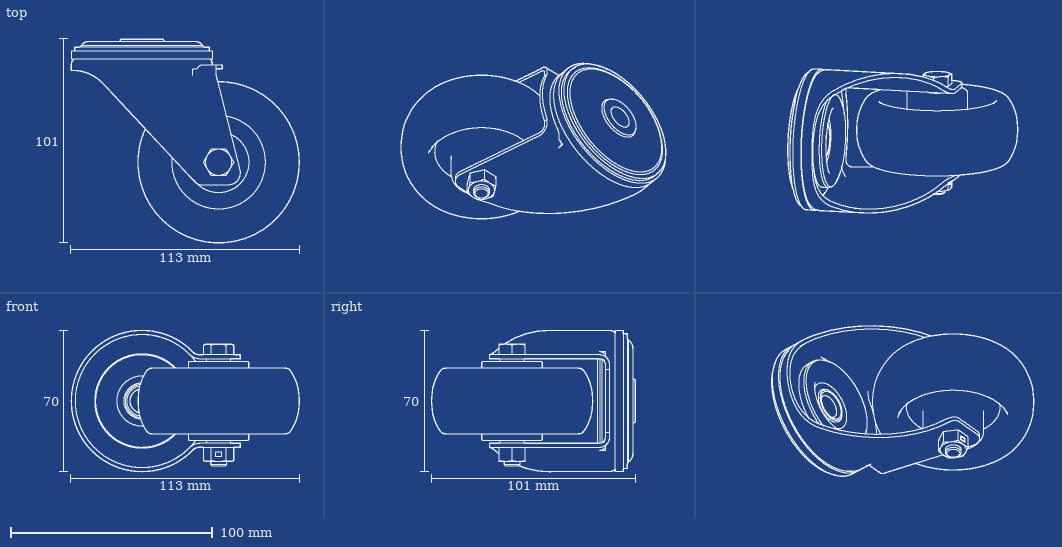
import cadquery as cq
import math


head_radius = 35.0
sheet = 2.0
axle_offset = 38.0
axle_depth = 61.0
wheel_radius = 40.0
bolt_radius = 4.0
bolt_hole_radius = 5.9

cover_top = 1.1
cover_flat_radius = 26.2
dome_radius = 30.1
dome_depth = 3.3
cover_shoulder_radius = 31.2
cover_shoulder = 4.0
cover_step_radius = 33.5
band_top = 5.9
band_bottom = 10.0
band_bore_radius = 34.0

valley_radius = 2.3
ridge_radius = 5.0
floor_flat_radius = 25.3
crown_bend_depth = 12.9
race_radius = 23.4

leg_face = 22.9
waist_bend = 5.1
shoulder_bend = 5.0
tab_top = 12.8
tab_radius = 39.9
leg_top_end = 36.7
leg_bottom = 72.2
leg_tip_corner = 50.4
leg_heel_corner = 27.6
leg_tip_round = 6.0
leg_heel_round = 4.5
rear_rim = 15.6
rear_corner = -25.3
rear_round = 20.8

hub_ring_radius = 11.1
hub_ring_chamfer = 0.6
race_edge_radius = 22.9
race_wall_end = 16.4
race_edge = 17.5
race_crest = 18.8
race_inner_radius = 16.5
seat = 13.2
seat_radius = 12.4
collar_radius = 8.9
collar_depth = 13.9
collar_chamfer = 0.7
bore_chamfer = 1.6

wheel_half_width = 16.4
tread_mid = (39.0, 7.9)
tread_shoulder = (36.0, 14.4)
rim_crest = 32.4
rim_foot = 25.2
rim_foot_height = 2.0
web_half = 3.4
web_outer_radius = 23.2
barrel_foot_round = 2.8
barrel_radius = 15.0
barrel_half_length = 19.7
barrel_round = 1.0
tube_radius = 6.0

hex_flats = 13.0
hex_chamfer = 0.5
bolt_head_height = 5.2
nut_height = 7.0
bolt_end = 32.2
thread_chamfer = 0.7
mark_length = 2.9
mark_height = 2.1
mark_depth = 0.3
mark_offset = 3.5

wall_inner_radius = head_radius - sheet
leg_inner_face = leg_face - sheet
waist_z = leg_face + waist_bend
waist_x = math.sqrt((head_radius + waist_bend) ** 2 - waist_z**2)
waist_angle = math.atan2(waist_z, waist_x)
tab_bottom = tab_top + sheet
shoulder_end = tab_top + shoulder_bend
valley_center = wall_inner_radius - valley_radius
bend_slope = math.asin((valley_center - floor_flat_radius) / (valley_radius + ridge_radius))
ridge_depth = crown_bend_depth - (valley_radius + ridge_radius) * math.cos(bend_slope)
floor_bottom = ridge_depth + ridge_radius
cover_underside = crown_bend_depth - valley_radius - sheet


def polar(radius, angle):
    return radius * math.cos(angle), radius * math.sin(angle)


def spin(profile):
    """Turn a radius/height section all the way round the Y axis."""
    return profile.close().revolve(360, (0, 0), (0, 1))


def crown_bends(profile, valley, ridge):
    """Add the two floor bends, from the crown wall to the flat floor."""
    half = bend_slope / 2
    valley_mid = (
        valley_center + valley * math.sin(math.pi / 4 - half),
        valley * math.cos(math.pi / 4 - half) - crown_bend_depth,
    )
    inflection = (
        valley_center - valley * math.sin(bend_slope),
        valley * math.cos(bend_slope) - crown_bend_depth,
    )
    ridge_mid = (floor_flat_radius + ridge * math.sin(half), -ridge_depth - ridge * math.cos(half))
    ridge_end = (floor_flat_radius, -ridge_depth - ridge)
    return profile.threePointArc(valley_mid, inflection).threePointArc(ridge_mid, ridge_end)


def crown_section(wall_radius, valley, ridge):
    """Everything enclosed by one face of the crown sheet, as a solid."""
    profile = cq.Workplane("XY").moveTo(0, -tab_bottom).lineTo(wall_radius, -tab_bottom)
    profile = profile.lineTo(wall_radius, -crown_bend_depth)
    profile = crown_bends(profile, valley, ridge)
    return spin(profile.lineTo(0, -ridge_depth - ridge))


def cylinder_y(radius, top, bottom):
    """Cylinder on the swivel axis between two depths."""
    return cq.Workplane("XZ", origin=(0, -top, 0)).circle(radius).extrude(bottom - top)


def cylinder_z(radius, low, high):
    """Cylinder on the wheel axis between two heights."""
    return cq.Workplane("XY", origin=(axle_offset, -axle_depth, low)).circle(radius).extrude(high - low)


def wall_outline():
    """Round rear wall and both flat legs, as an outline across the swivel axis."""
    outer_x, outer_z = polar(head_radius, waist_angle)
    inner_x, inner_z = polar(wall_inner_radius, waist_angle)
    mid_turn = (waist_angle - math.pi / 2) / 2 - math.pi / 2
    mid_x, mid_z = polar(1, mid_turn)
    outer_mid = (waist_x + waist_bend * mid_x, waist_z + waist_bend * mid_z)
    inner_bend = waist_bend + sheet
    inner_mid = (waist_x + inner_bend * mid_x, waist_z + inner_bend * mid_z)
    return (
        cq.Workplane("XZ", origin=(0, -tab_bottom, 0))
        .moveTo(leg_tip_corner, leg_face)
        .lineTo(waist_x, leg_face)
        .threePointArc(outer_mid, (outer_x, outer_z))
        .threePointArc((-head_radius, 0), (outer_x, -outer_z))
        .threePointArc((outer_mid[0], -outer_mid[1]), (waist_x, -leg_face))
        .lineTo(leg_tip_corner, -leg_face)
        .lineTo(leg_tip_corner, -leg_inner_face)
        .lineTo(waist_x, -leg_inner_face)
        .threePointArc((inner_mid[0], -inner_mid[1]), (inner_x, -inner_z))
        .threePointArc((-wall_inner_radius, 0), (inner_x, inner_z))
        .threePointArc(inner_mid, (waist_x, leg_inner_face))
        .lineTo(leg_tip_corner, leg_inner_face)
        .close()
    )


def leg_side_shape():
    """Side outline of the legs as a block, used to trim the wall."""
    corners = [
        (-head_radius, 0),
        (-head_radius, -rear_rim),
        (rear_corner, -rear_rim),
        (leg_heel_corner, -leg_bottom),
        (leg_tip_corner, -leg_bottom),
        (leg_top_end, -shoulder_end),
        (leg_top_end, 0),
    ]
    block = cq.Workplane("XY").polyline(corners).close().extrude(head_radius, both=True)
    rounds = (rear_round, leg_heel_round, leg_tip_round)
    for corner, radius in zip(corners[2:5], rounds):
        nearest = cq.selectors.NearestToPointSelector((corner[0], corner[1], 0))
        block = block.edges("|Z").edges(nearest).fillet(radius)
    return block


def shoulder_section():
    """Bend from a leg up into the tab; local x is the distance from the waist bend axis."""
    outer = shoulder_bend
    inner = shoulder_bend - sheet
    center = waist_bend + shoulder_bend
    return (
        cq.Workplane("XY")
        .moveTo(waist_bend, -shoulder_end)
        .radiusArc((center, -tab_top), outer)
        .lineTo(center + outer, -tab_top)
        .lineTo(center + outer, -tab_bottom)
        .lineTo(center, -tab_bottom)
        .radiusArc((center - inner, -shoulder_end), -inner)
        .close()
    )


def make_shoulders():
    """Tab between the legs, with straight bends to the legs and curved bends to the round wall."""
    straight = shoulder_section().extrude(leg_top_end - waist_x)
    sweep = 90 - math.degrees(waist_angle)
    corner = shoulder_section().revolve(sweep, (0, 0), (0, 1))
    upper = straight.union(corner).rotate((0, 0, 0), (0, 1, 0), 90).translate((waist_x, 0, waist_z))
    strip = (
        cq.Workplane("XY")
        .box(tab_radius, sheet, 2 * (leg_face - shoulder_bend), centered=(False, False, True))
        .translate((0, -tab_bottom, 0))
    )
    tab = strip.intersect(cylinder_y(tab_radius, tab_top, tab_bottom))
    return tab.union(upper).union(upper.mirror("XY"))


def make_walls():
    """Round rear wall and legs, without the part of the legs above their shoulder bends."""
    walls = wall_outline().extrude(leg_bottom - tab_bottom).intersect(leg_side_shape())
    above_shoulders = (
        cq.Workplane("XY")
        .box(leg_tip_corner, shoulder_end, 2 * head_radius, centered=(False, False, True))
        .translate((head_radius * math.cos(waist_angle), -shoulder_end, 0))
    )
    return walls.cut(above_shoulders)


def make_fork():
    crown = crown_section(head_radius, valley_radius + sheet, ridge_radius - sheet)
    cavity = crown_section(wall_inner_radius, valley_radius, ridge_radius)
    cavity = cavity.union(cylinder_y(wall_inner_radius, tab_bottom, shoulder_end))
    fork = crown.union(make_shoulders()).union(make_walls()).cut(cavity)
    fork = fork.cut(cylinder_y(race_radius, 0, floor_bottom))
    return fork.cut(cylinder_z(bolt_radius, -head_radius, head_radius))


def make_cover():
    """Domed cover with a rim band that reaches over the fork crown."""
    profile = (
        cq.Workplane("XY")
        .moveTo(bolt_hole_radius, -cover_top)
        .lineTo(cover_flat_radius, -cover_top)
        .tangentArcPoint((dome_radius, -dome_depth), relative=False)
        .lineTo(cover_shoulder_radius, -cover_shoulder)
        .lineTo(cover_step_radius, -cover_shoulder)
        .lineTo(cover_step_radius, -band_top)
        .lineTo(head_radius, -band_top)
        .lineTo(head_radius, -band_bottom)
        .lineTo(band_bore_radius, -band_bottom)
        .lineTo(band_bore_radius, -cover_underside)
        .lineTo(bolt_hole_radius, -cover_underside)
    )
    return spin(profile).cut(cylinder_y(hub_ring_radius, 0, cover_underside))


def make_hub():
    """Bolt hole bush with the rounded race that carries the fork."""
    race_mid_radius = (race_edge_radius + race_inner_radius) / 2
    profile = (
        cq.Workplane("XY")
        .moveTo(bolt_hole_radius, 0)
        .lineTo(hub_ring_radius - hub_ring_chamfer, 0)
        .lineTo(hub_ring_radius, -cover_top)
        .lineTo(hub_ring_radius, -cover_underside)
        .lineTo(race_radius, -cover_underside)
        .lineTo(race_radius, -race_wall_end)
        .lineTo(race_edge_radius, -race_edge)
        .threePointArc((race_mid_radius, -race_crest), (race_inner_radius, -race_edge))
        .lineTo(seat_radius, -seat)
        .lineTo(collar_radius, -seat)
        .lineTo(collar_radius - collar_chamfer, -collar_depth)
        .lineTo(bolt_hole_radius + bore_chamfer, -collar_depth)
        .lineTo(bolt_hole_radius, bore_chamfer - collar_depth)
    )
    return spin(profile)


def make_wheel():
    """Wheel with a crowned tread, a thin web and a long barrel."""
    crest = (rim_crest, wheel_half_width)
    foot = (rim_foot, web_half + rim_foot_height)
    along_axle = (0, 1)
    inward = (-1, 0)
    toward_web = (-0.6, -0.8)
    half = (
        cq.Workplane("XY")
        .moveTo(tube_radius, 0)
        .lineTo(wheel_radius, 0)
        .spline([tread_mid, tread_shoulder, crest], tangents=[along_axle, inward], includeCurrent=True)
        .spline([foot], tangents=[inward, toward_web], includeCurrent=True)
        .lineTo(web_outer_radius, web_half)
        .lineTo(barrel_radius + barrel_foot_round, web_half)
        .radiusArc((barrel_radius, web_half + barrel_foot_round), barrel_foot_round)
        .lineTo(barrel_radius, barrel_half_length - barrel_round)
        .radiusArc((barrel_radius - barrel_round, barrel_half_length), -barrel_round)
        .lineTo(tube_radius, barrel_half_length)
    )
    half = spin(half).rotate((0, 0, 0), (1, 0, 0), 90)
    return half.union(half.mirror("XY")).translate((axle_offset, -axle_depth, 0))


def make_tube():
    tube = cylinder_z(tube_radius, -leg_inner_face, leg_inner_face)
    return tube.cut(cylinder_z(bolt_radius, -leg_inner_face, leg_inner_face))


def hexagon(low, high, chamfered_ends):
    """Hexagonal prism on the wheel axis with its corners turned down."""
    corner_radius = hex_flats / math.sqrt(3)
    height = high - low
    base = cq.Workplane("XY", origin=(axle_offset, -axle_depth, low))
    turned = base.circle(corner_radius).extrude(height)
    turned = turned.faces(chamfered_ends).chamfer(hex_chamfer, corner_radius - hex_flats / 2)
    return base.polygon(6, 2 * corner_radius).extrude(height).intersect(turned)


def make_bolt():
    head = hexagon(leg_face, leg_face + bolt_head_height, ">Z")
    shank = cylinder_z(bolt_radius, -bolt_end, leg_face).faces("<Z").chamfer(thread_chamfer)
    return head.union(shank)


def make_nut():
    low = -leg_face - nut_height
    nut = hexagon(low, -leg_face, "<Z").cut(cylinder_z(bolt_radius, low, -leg_face))
    mark = (
        cq.Workplane("XY")
        .box(mark_length, 2 * mark_depth, mark_height)
        .translate((axle_offset, -axle_depth - hex_flats / 2, -leg_face - mark_offset))
    )
    return nut.cut(mark)


fork = make_fork()
cover = make_cover()
hub = make_hub()
wheel = make_wheel()
tube = make_tube()
bolt = make_bolt()
nut = make_nut()

bodies = [fork, cover, hub, wheel, tube, bolt, nut]
result = cq.Compound.makeCompound([body.val() for body in bodies])